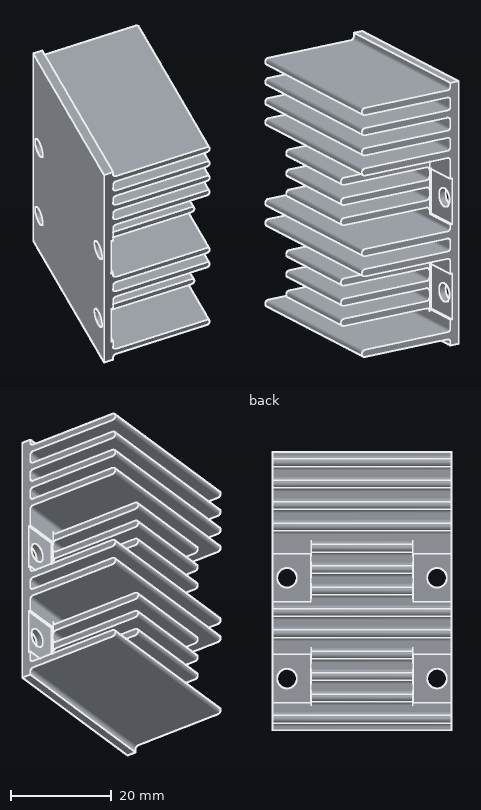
import cadquery as cq
import math

width = 35.56
depth = 22.86
height = 55.25
base_thickness = 1.98

fin_count = 13
fin_pitch = 4.24
fin_thickness = 1.524
fin_root_radius = 0.7
first_fin_z = (height - (fin_count - 1) * fin_pitch) / 2

hole_diameter = 3.85
hole_edge_distance = 2.9
hole_spacing_z = 20.0
lower_hole_z = 10.25
hole_heights = (lower_hole_z, lower_hole_z + hole_spacing_z)

relief_width = 7.7
relief_fin_count = 3
relief_first_fins = (1, 6)

seat_width = 7.6
seat_height = 9.6
seat_depth = 0.4

side_edges = ((0, 1), (width, -1))


def make_base():
    return cq.Workplane("XY").box(width, base_thickness, height, centered=False)


def make_fin(center_z):
    """Fin with a full-round tip and filleted root, running across the width."""
    half_thickness = fin_thickness / 2
    low = center_z - half_thickness
    high = center_z + half_thickness
    root_y = base_thickness + fin_root_radius
    tip_y = depth - half_thickness
    arc_offset = fin_root_radius * (1 - math.sqrt(0.5))
    arc_y = base_thickness + arc_offset
    return (
        cq.Workplane("YZ")
        .moveTo(0, low - fin_root_radius)
        .lineTo(base_thickness, low - fin_root_radius)
        .threePointArc((arc_y, low - arc_offset), (root_y, low))
        .lineTo(tip_y, low)
        .threePointArc((depth, center_z), (tip_y, high))
        .lineTo(root_y, high)
        .threePointArc((arc_y, high + arc_offset), (base_thickness, high + fin_root_radius))
        .lineTo(0, high + fin_root_radius)
        .close()
        .extrude(width)
    )


def side_block(edge_x, inward, block_width, low_z, block_height, floor_y):
    """Cutting block reaching in from a side edge, from floor_y out to the fin tips."""
    return (
        cq.Workplane("XY")
        .box(block_width, depth - floor_y, block_height, centered=(True, False, False))
        .translate((edge_x + inward * block_width / 2, floor_y, low_z))
    )


def make_fin_relief(edge_x, inward, first_fin):
    """Block removing the ends of neighbouring fins, bounded midway between fins."""
    low_z = first_fin_z + (first_fin - 0.5) * fin_pitch
    relief_height = relief_fin_count * fin_pitch
    return side_block(edge_x, inward, relief_width, low_z, relief_height, base_thickness)


def make_seat(edge_x, inward, hole_z):
    low_z = hole_z - seat_height / 2
    floor_y = base_thickness - seat_depth
    return side_block(edge_x, inward, seat_width, low_z, seat_height, floor_y)


def make_hole(edge_x, inward, hole_z):
    return (
        cq.Workplane("XZ")
        .center(edge_x + inward * hole_edge_distance, hole_z)
        .circle(hole_diameter / 2)
        .extrude(-base_thickness)
    )


heat_sink = make_base()
for fin_index in range(fin_count):
    heat_sink = heat_sink.union(make_fin(first_fin_z + fin_index * fin_pitch))

for edge_x, inward in side_edges:
    for first_fin, hole_z in zip(relief_first_fins, hole_heights):
        heat_sink = heat_sink.cut(make_fin_relief(edge_x, inward, first_fin))
        heat_sink = heat_sink.cut(make_seat(edge_x, inward, hole_z))
        heat_sink = heat_sink.cut(make_hole(edge_x, inward, hole_z))

result = heat_sink